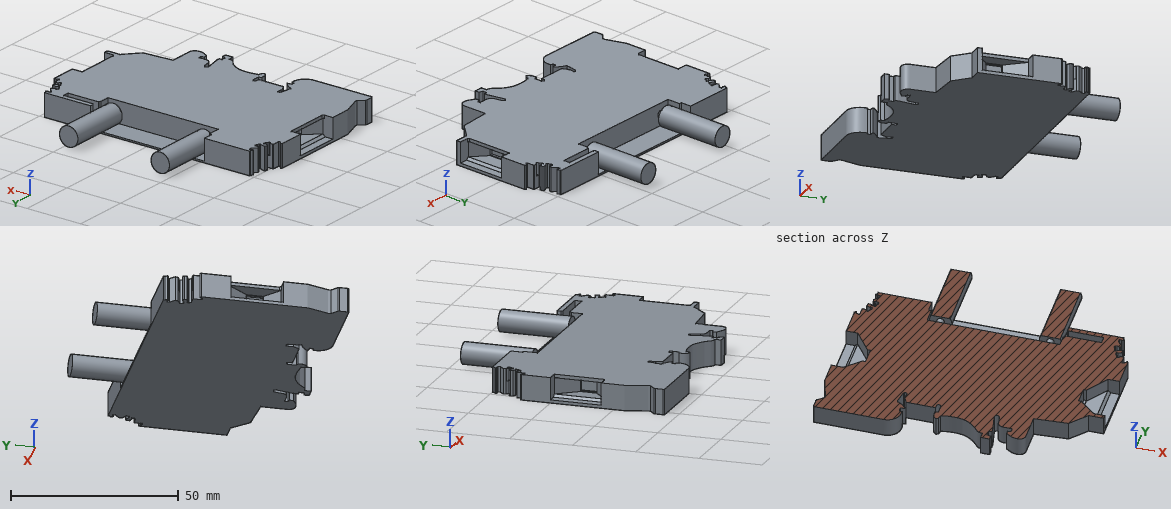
import cadquery as cq

LENGTH = 85.2
THICKNESS = 8.0
TOP_EDGE = 56.0
CENTRE_X = LENGTH / 2

LEFT_PIN_X = 25.6
PIN_PITCH = 34.2
RIGHT_PIN_X = LEFT_PIN_X + PIN_PITCH
PIN_DIAMETER = 6.9
PIN_END = 72.25
PIN_START = 50.0
NECK_DIAMETER = 2.3
PIN_AXIS_Z = 4.4

RECESS_FLOOR_Z = 0.6
RECESS_BACK = 47.8
RECESS_CLEARANCE = 0.04
LEFT_STEP_WIDTH = 0.85
LEFT_STEP_BACK = 52.3
RIGHT_STEP_WIDTH = 0.4
SLOT_END = 75.0
SLOT_FRONT = 54.3
SLOT_BACK = 52.05
STEP_CHAMFER = 0.4

ENTRY_DEPTH = 3.7
ENTRY_Y_MIN = 20.0
ENTRY_Y_MAX = 36.1
ENTRY_FLOOR_Z = 1.0
ENTRY_CORNER = 0.5
SLOPE_START = 2.8
FUNNEL_END = 8.5
FUNNEL_Z_MIN = 1.8
FUNNEL_Z_MAX = 6.9
FUNNEL_END_Y_MIN = 24.4
FUNNEL_END_Y_MAX = 29.6
WINDOW_LIP = 0.25
WINDOW_DEPTH = 0.85

UNDERCUT_FLOOR_Z = THICKNESS / 2

TEETH = [
    (0, 45.2), (0.25, 45.7), (0.5, 45.7), (0.8, 45.15), (1.45, 44.65), (1.8, 44.9),
    (1.8, 47.3), (2.05, 47.45), (4.1, 47.45), (4.6, 48.05), (4.6, 48.7), (4.1, 48.5),
    (2.8, 49.0), (2.8, 49.75), (3.1, 50.3), (3.7, 50.2), (4.6, 49.75), (5.0, 49.5),
    (5.4, 49.7), (5.6, 50.6), (5.4, 50.8), (4.1, 51.55), (3.9, 52.4), (5.4, 53.85),
    (5.4, 54.6), (4.7, 54.6), (4.5, 54.4), (3.9, 54.6), (3.8, 54.9), (4.35, 55.5),
    (4.35, TOP_EDGE),
]
UNDERCUTS = [
    [(3.1, 47.45), (3.4, 46.8), (3.8, 46.8), (4.1, 47.45)],
    [(4.5, 51.55), (5.6, 51.55), (5.9, 51.3), (5.9, 50.95), (5.6, 50.6), (5.4, 50.6)],
]


def mirrored(points):
    """Points reflected about the middle of the housing."""
    return [(LENGTH - x, y) for x, y in points]


def box(x_range, y_range, z_range):
    """Box between the given limits."""
    sizes = [high - low for low, high in (x_range, y_range, z_range)]
    corner = (x_range[0], y_range[0], z_range[0])
    return cq.Workplane("XY").box(*sizes, centered=False).translate(corner)


def mirror_end(shape):
    """Copy of a left end feature placed on the right end."""
    return shape.mirror("YZ", (CENTRE_X, 0, 0))


def housing():
    """Flat plate with rail feet below and grip teeth at both upper corners."""
    outline = (
        cq.Workplane("XY")
        .moveTo(*TEETH[0])
        .lineTo(0, 12.6)
        .lineTo(2.1, 5.9)
        .lineTo(2.1, 5.1)
        .lineTo(0.2, 3.4)
        .lineTo(0, 2.9)
        .lineTo(0, 0.5)
        .lineTo(0.25, 0)
        .lineTo(22.0, 0)
        .tangentArcPoint((26.3, 4.35), relative=False)
        .lineTo(26.3, 5.1)
        .lineTo(25.4, 5.45)
        .lineTo(25.4, 6.4)
        .lineTo(27.0, 6.7)
        .threePointArc((25.65, 8.1), (23.6, 9.3))
        .lineTo(24.4, 13.4)
        .lineTo(24.6, 13.6)
        .lineTo(25.4, 13.6)
        .lineTo(25.2, 11.5)
        .lineTo(26.2, 9.45)
        .lineTo(35.45, 9.45)
        .lineTo(35.5, 10.6)
        .threePointArc((36.1, 11.1), (36.7, 10.6))
        .lineTo(36.7, 8.0)
        .lineTo(35.7, 7.7)
        .lineTo(35.7, 6.6)
        .threePointArc((36.0, 5.45), (37.0, 4.6))
        .lineTo(37.7, 5.1)
        .lineTo(37.9, 6.3)
        .lineTo(38.3, 6.4)
        .threePointArc((41.6, 6.8), (44.8, 6.6))
        .threePointArc((47.1, 5.5), (49.0, 4.1))
        .lineTo(50.3, 2.6)
        .tangentArcPoint((51.8, 2.05), relative=False)
        .lineTo(52.05, 2.05)
        .lineTo(52.05, 0)
        .lineTo(54.95, 0)
        .lineTo(54.95, 1.5)
        .lineTo(53.7, 1.9)
        .lineTo(53.7, 3.4)
        .lineTo(54.7, 3.4)
        .lineTo(54.7, 4.5)
        .lineTo(53.5, 10.4)
        .threePointArc((54.3, 11.1), (54.95, 10.6))
        .lineTo(55.5, 7.7)
        .threePointArc((56.15, 6.8), (57.3, 6.4))
        .lineTo(60.1, 6.4)
        .lineTo(60.1, 5.4)
        .lineTo(59.05, 5.1)
        .lineTo(59.05, 3.9)
        .lineTo(61.1, 2.7)
        .threePointArc((61.9, 2.5), (63.0, 2.4))
        .threePointArc((64.5, 3.0), (65.1, 4.5))
        .lineTo(65.1, 12.6)
        .lineTo(75.75, 13.4)
        .lineTo(80.5, 18.5)
        .lineTo(LENGTH, 18.5)
        .polyline(mirrored(TEETH), includeCurrent=True)
        .polyline(TEETH[::-1], includeCurrent=True)
        .close()
    )
    return outline.extrude(THICKNESS)


def pin_recess():
    """Recess open to the top edge, stepped at both ends, with a side slot."""
    margin = PIN_DIAMETER / 2 + RECESS_CLEARANCE
    left = LEFT_PIN_X - margin
    right = RIGHT_PIN_X + margin
    step = right + RIGHT_STEP_WIDTH
    return (
        cq.Workplane("XY")
        .workplane(offset=RECESS_FLOOR_Z)
        .moveTo(left, RECESS_BACK)
        .lineTo(right, RECESS_BACK)
        .lineTo(right, SLOT_BACK - 2 * STEP_CHAMFER)
        .lineTo(step, SLOT_BACK - STEP_CHAMFER)
        .lineTo(step, SLOT_BACK)
        .lineTo(SLOT_END, SLOT_BACK)
        .lineTo(SLOT_END, SLOT_FRONT)
        .lineTo(step + STEP_CHAMFER, SLOT_FRONT)
        .lineTo(step, SLOT_FRONT + STEP_CHAMFER)
        .lineTo(step, TOP_EDGE)
        .lineTo(left - LEFT_STEP_WIDTH, TOP_EDGE)
        .lineTo(left - LEFT_STEP_WIDTH, LEFT_STEP_BACK)
        .lineTo(left, LEFT_STEP_BACK)
        .close()
        .extrude(THICKNESS - RECESS_FLOOR_Z)
    )


def wire_entry():
    """Left end notch with a sloped floor edge, a chamfered upper corner, a funnel and a window."""
    notch = (
        cq.Workplane("XZ", origin=(0, ENTRY_Y_MAX, 0))
        .moveTo(0, ENTRY_FLOOR_Z)
        .lineTo(SLOPE_START, ENTRY_FLOOR_Z)
        .lineTo(ENTRY_DEPTH, FUNNEL_Z_MIN)
        .lineTo(ENTRY_DEPTH, THICKNESS)
        .lineTo(0, THICKNESS)
        .close()
        .extrude(ENTRY_Y_MAX - ENTRY_Y_MIN)
    )
    corner = (
        cq.Workplane("XY")
        .workplane(offset=FUNNEL_Z_MAX)
        .moveTo(ENTRY_DEPTH, ENTRY_Y_MIN)
        .lineTo(ENTRY_DEPTH, ENTRY_Y_MIN + ENTRY_CORNER)
        .lineTo(ENTRY_DEPTH - ENTRY_CORNER, ENTRY_Y_MIN)
        .close()
        .extrude(THICKNESS - FUNNEL_Z_MAX)
    )
    funnel = (
        cq.Workplane("XY")
        .workplane(offset=FUNNEL_Z_MIN)
        .moveTo(ENTRY_DEPTH, ENTRY_Y_MIN)
        .lineTo(FUNNEL_END, FUNNEL_END_Y_MIN)
        .lineTo(FUNNEL_END, FUNNEL_END_Y_MAX)
        .lineTo(ENTRY_DEPTH, ENTRY_Y_MAX)
        .close()
        .extrude(FUNNEL_Z_MAX - FUNNEL_Z_MIN)
    )
    window = box(
        (FUNNEL_END, FUNNEL_END + WINDOW_DEPTH),
        (FUNNEL_END_Y_MIN, FUNNEL_END_Y_MAX),
        (FUNNEL_Z_MIN + WINDOW_LIP, FUNNEL_Z_MAX - WINDOW_LIP),
    )
    return notch.cut(corner).union(funnel).union(window)


def tooth_undercut(points):
    """Pocket behind a grip tooth, open at the upper face."""
    return (
        cq.Workplane("XY")
        .workplane(offset=UNDERCUT_FLOOR_Z)
        .polyline(points)
        .close()
        .extrude(THICKNESS - UNDERCUT_FLOOR_Z)
    )


def cylinder_along_y(x, diameter, start, end):
    """Round bar on the pin axis height between two Y positions."""
    plane = cq.Workplane("XZ", origin=(x, start, PIN_AXIS_Z))
    return plane.circle(diameter / 2).extrude(start - end)


result = housing().cut(pin_recess())

for end_feature in [wire_entry()] + [tooth_undercut(points) for points in UNDERCUTS]:
    result = result.cut(end_feature).cut(mirror_end(end_feature))

for pin_x in (LEFT_PIN_X, RIGHT_PIN_X):
    result = result.union(cylinder_along_y(pin_x, PIN_DIAMETER, PIN_START, PIN_END))
    result = result.union(cylinder_along_y(pin_x, NECK_DIAMETER, RECESS_BACK, PIN_START))